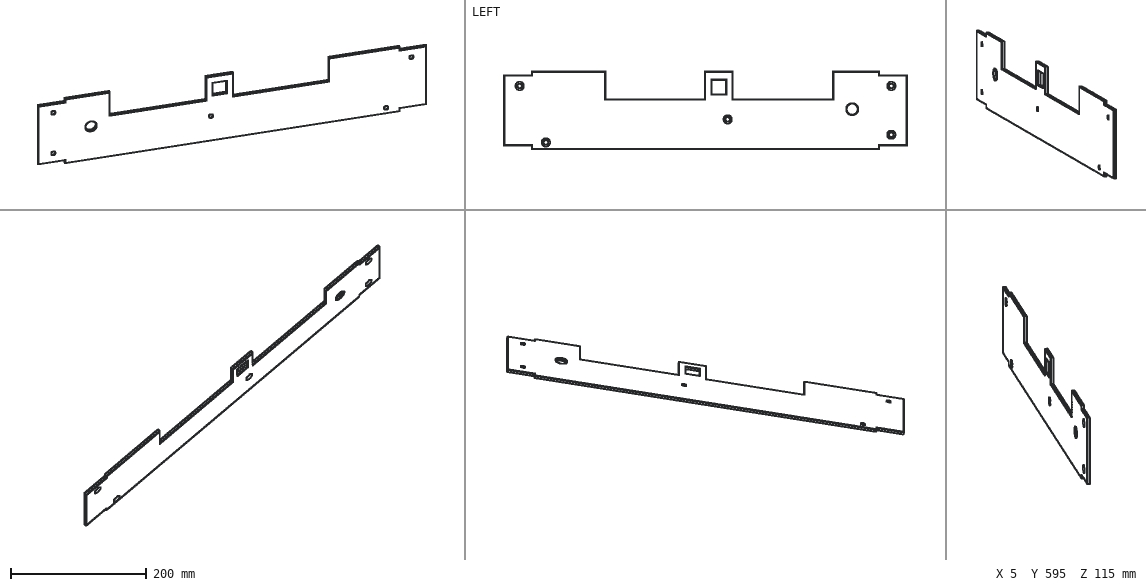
import cadquery as cq

length = 595.0
height = 115.0
thickness = 5.0
edge_chamfer = 1.0

end_tab_length = 41.0
end_tab_step = 5.5

notch_depth = 41.0
notch_start = 147.5
lug_start = 1.0
lug_width = 41.5
notch_end = -188.0

window_size = 21.0
window_drop = 23.0

round_hole_diameter = 16.0
round_hole_y = -216.5
round_hole_z = 2.0

screw_diameter = 6.5
sink_diameter = 12.5
sink_angle = 90
corner_hole_inset = 23.0
corner_hole_drop = 21.5
right_hole_spacing = 72.0
lower_hole_y = 235.5
lower_hole_rise = 10.0
middle_hole_y = -33.0
middle_hole_drop = 71.0

top = height / 2
bottom = -height / 2
front_face = -thickness / 2
lug_end = lug_start - lug_width
corner_hole_y = length / 2 - corner_hole_inset
upper_hole_z = top - corner_hole_drop

screw_holes = [
    (corner_hole_y, upper_hole_z),
    (-corner_hole_y, upper_hole_z),
    (-corner_hole_y, upper_hole_z - right_hole_spacing),
    (lower_hole_y, bottom + lower_hole_rise),
    (middle_hole_y, top - middle_hole_drop),
]


def plate_blank():
    """Full-height middle joined to the lower end tabs."""
    middle = cq.Workplane("XY").box(thickness, length - 2 * end_tab_length, height)
    ends = cq.Workplane("XY").box(thickness, length, height - 2 * end_tab_step)
    return middle.union(ends)


def through_block(y_high, y_low, z_high, z_low):
    """Block that cuts a rectangular opening through the thickness."""
    y_middle = (y_high + y_low) / 2
    z_middle = (z_high + z_low) / 2
    block = cq.Workplane("XY").box(2 * thickness, y_high - y_low, z_high - z_low)
    return block.translate((0, y_middle, z_middle))


def lug_window():
    """Square opening centred across the lug."""
    y_middle = (lug_start + lug_end) / 2
    z_middle = top - window_drop
    half = window_size / 2
    return through_block(y_middle + half, y_middle - half, z_middle + half, z_middle - half)


def round_hole():
    """Cylinder that cuts the plain round hole through the thickness."""
    cutter = cq.Workplane("YZ").center(round_hole_y, round_hole_z)
    return cutter.circle(round_hole_diameter / 2).extrude(thickness, both=True)


def drill_screw_holes(body):
    """Countersunk through holes, drilled from the -X face."""
    drill_plane = cq.Plane(origin=(front_face, 0, 0), xDir=(0, -1, 0), normal=(-1, 0, 0))
    drill = body.copyWorkplane(cq.Workplane(drill_plane))
    drill = drill.pushPoints([(-y, z) for y, z in screw_holes])
    return drill.cskHole(screw_diameter, sink_diameter, sink_angle)


plate = plate_blank()
for y_high, y_low in [(notch_start, lug_start), (lug_end, notch_end)]:
    plate = plate.cut(through_block(y_high, y_low, top, top - notch_depth))
plate = plate.cut(lug_window())
plate = plate.cut(round_hole())

plate = plate.faces("<X or >X").edges().chamfer(edge_chamfer)

result = drill_screw_holes(plate)